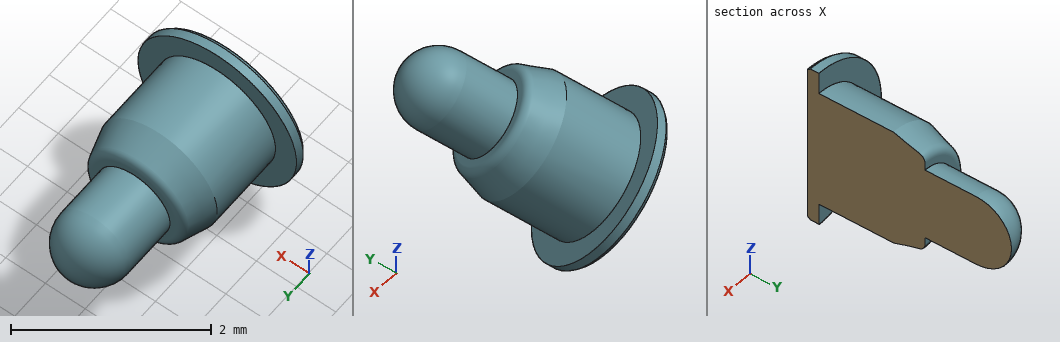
import cadquery as cq

total_length = 2.6

flange_radius = 1.0
flange_thickness = 0.15
flange_chamfer_radial = 0.03
flange_chamfer_axial = 0.04

barrel_radius = 0.735
barrel_straight_end = 1.1
barrel_end = 1.5
barrel_mouth_radius = 0.61
barrel_mouth_fillet = 0.1

plunger_radius = 0.45


def revolve_about_y(profile):
    """Turn a closed (radius, Y) outline into a solid around the Y axis."""
    return profile.close().revolve(360, (0, 0, 0), (0, 1, 0))


def make_flange():
    """Base disc with a small chamfer around its outer face."""
    return revolve_about_y(
        cq.Workplane("XY")
        .lineTo(flange_radius - flange_chamfer_radial, 0)
        .lineTo(flange_radius, flange_chamfer_axial)
        .lineTo(flange_radius, flange_thickness)
        .lineTo(0, flange_thickness)
    )


def make_barrel():
    """Cylinder that tapers to a mouth with a rounded rim."""
    barrel = revolve_about_y(
        cq.Workplane("XY")
        .lineTo(barrel_radius, 0)
        .lineTo(barrel_radius, barrel_straight_end)
        .lineTo(barrel_mouth_radius, barrel_end)
        .lineTo(0, barrel_end)
    )
    return barrel.faces(">Y").edges().fillet(barrel_mouth_fillet)


def make_plunger():
    """Round pin with a hemispherical tip."""
    dome_start = total_length - plunger_radius
    return revolve_about_y(
        cq.Workplane("XY")
        .lineTo(plunger_radius, 0)
        .lineTo(plunger_radius, dome_start)
        .radiusArc((0, total_length), -plunger_radius)
    )


result = make_flange().union(make_barrel()).union(make_plunger())